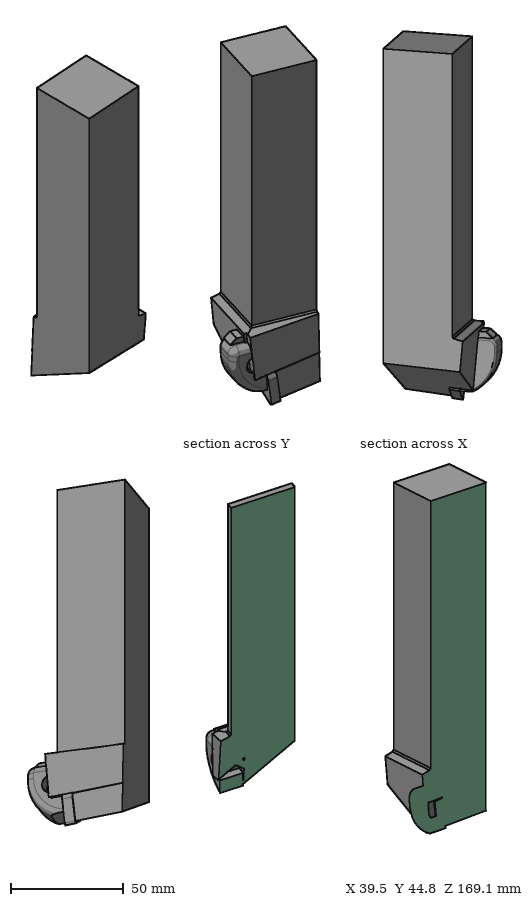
import cadquery as cq
import math

tool_height = 169.0
shank_side = 32.0
head_depth = 36.8

shoulder_height = 38.5
shoulder_slope = 0.25
shoulder_chamfer = 0.7
side_front_x = -3.9
side_lean = 0.05
side_relief = 0.11
end_front_z = 24.7
end_angle = 30.4
end_relief = 0.04

rake_tilt = 6.5
side_tilt = 6
tip_x = -7.5
tip_y = 25.5
tip_z = -0.7
insert_side = 15.9
insert_thickness = 4.7
insert_edge_angle = 87.5
nose_radius = 0.8
obtuse_corner_radius = 3.7
pocket_clearance = 33.8

recess_top_z = 18.5
recess_relief = 0.1
recess_depth = 0.2

back_tilt = 5.3
seat_right = -2.2
seat_drop = 1.2

clamp_left = -5.7
clamp_right = 6.0
clamp_back = 44.8
clamp_nose_z = 7.5
clamp_nose_height = 7.6
clamp_nose_y = 27.0
clamp_bend_z = 26.2
clamp_heel_z = 32.6
clamp_foot_y = 33.8
clamp_seat_y = 32.6
clamp_side_rounding = 3.7
clamp_corner_radius = 3.9
clamp_edge_rounding = 1.0
clamp_tab_left = -1.2
clamp_tab_width = 6.8
clamp_tab_top = 35.3
clamp_tab_back = 39.9
clamp_tab_front_z = 31.1
clamp_tab_reach = 43.1
clamp_bore_radius = 4.2
clamp_bore_depth = 5.9
clamp_bore_y = 32.8
clamp_bore_z = 22.1

cutter_size = 67.6
pick_margin = 0.8


def head_outline(y):
    """Corner points (x, z) of the head at depth y, where side and end faces shift with y."""
    side_x = side_front_x - side_relief * y
    end_z = end_front_z - end_relief * y
    end_slope = math.tan(math.radians(end_angle))
    shoulder_x = (side_x + side_lean * shoulder_height) / (1 - side_lean * shoulder_slope)
    corner_z = (end_z + end_slope * (side_x - shank_side)) / (1 - end_slope * side_lean)
    return [
        (0, shoulder_height),
        (shoulder_x, shoulder_height + shoulder_slope * shoulder_x),
        (side_x + side_lean * corner_z, corner_z),
        (shank_side, end_z),
        (shank_side, shoulder_height),
    ]


def make_shank():
    height = tool_height - shoulder_height
    return cq.Workplane("XY", origin=(0, 0, shoulder_height)).box(
        shank_side, shank_side, height, centered=False
    )


def make_head():
    head = (
        cq.Workplane("XZ")
        .polyline(head_outline(0))
        .close()
        .workplane(offset=-head_depth)
        .polyline(head_outline(head_depth))
        .close()
        .loft(ruled=True)
    )
    ledge = head_depth - shank_side
    bevel = (
        cq.Workplane("YZ")
        .polyline([
            (shank_side, shoulder_height),
            (head_depth, shoulder_height),
            (head_depth, shoulder_height - shoulder_slope * ledge),
        ])
        .close()
        .extrude(shank_side, both=True)
    )
    return head.cut(bevel)


def make_back_cutter(right_x, drop):
    """Space behind a tilted back face of the head, left of right_x and drop below its full depth."""
    cutter = cq.Workplane("XY").box(
        cutter_size, cutter_size, cutter_size, centered=(False, False, True)
    )
    cutter = cutter.rotate((0, 0, 0), (1, 0, 0), -back_tilt)
    return cutter.translate((right_x - cutter_size, head_depth - drop, shoulder_height))


def make_side_recess():
    """Block whose right face is the recessed side face and whose top runs square to the insert."""
    cutter = cq.Workplane("XY").box(cutter_size, 2 * cutter_size, cutter_size)
    cutter = cutter.translate((-cutter_size / 2, 0, -cutter_size / 2))
    cutter = cutter.rotate((0, 0, 0), (1, 0, 0), -rake_tilt)
    cutter = cutter.rotate((0, 0, 0), (0, 0, 1), math.degrees(math.atan(recess_relief)))
    cutter = cutter.rotate((0, 0, 0), (0, 1, 0), math.degrees(math.atan(side_lean)))
    recess_x = side_front_x + side_lean * recess_top_z + recess_depth
    return cutter.translate((recess_x, 0, recess_top_z))


def along(angle, length):
    """Steps in x and z when moving a length at an angle above the X axis."""
    return length * math.cos(math.radians(angle)), length * math.sin(math.radians(angle))


def place_at_tip(shape):
    """Tilt a shape by the two insert angles and move its origin to the cutting tip."""
    shape = shape.rotate((0, 0, 0), (1, 0, 0), -rake_tilt)
    shape = shape.rotate((0, 0, 0), (0, 0, 1), side_tilt)
    return shape.translate((tip_x, tip_y, tip_z))


def make_insert():
    """Rhombic insert: one sharp corner is the cutting tip, the corner above it is well rounded."""
    up_x, up_z = along(insert_edge_angle, insert_side)
    end_x, end_z = along(end_angle, insert_side)
    insert = (
        cq.Workplane("XZ")
        .polyline([(0, 0), (up_x, up_z), (up_x + end_x, up_z + end_z), (end_x, end_z)])
        .close()
        .extrude(insert_thickness)
    )
    insert = insert.edges("|Y and (<Z or >Z)").fillet(nose_radius)
    obtuse_corner = cq.selectors.NearestToPointSelector((up_x, -insert_thickness / 2, up_z))
    insert = insert.edges("|Y").edges(obtuse_corner).fillet(obtuse_corner_radius)
    return place_at_tip(insert)


def make_pocket():
    """Open space around the insert, from the seat under it out past the back of the head.

    Its two walls run along the inner sides of the insert and meet at the far corner.
    """
    up_x, up_z = along(insert_edge_angle, insert_side)
    end_x, end_z = along(end_angle, insert_side)
    pocket = (
        cq.Workplane("XZ", origin=(0, pocket_clearance, 0))
        .polyline([
            (up_x - end_x, up_z - end_z),
            (up_x + end_x, up_z + end_z),
            (end_x - up_x, end_z - up_z),
            (-up_x - end_x, -up_z - end_z),
        ])
        .close()
        .extrude(insert_thickness + pocket_clearance)
    )
    return place_at_tip(pocket)


def make_clamp():
    """Hooked clamp whose nose presses on the insert and whose heel carries a narrower tab."""
    nose_top_z = clamp_nose_z + clamp_nose_height
    body = (
        cq.Workplane("YZ", origin=(clamp_left, 0, 0))
        .moveTo(clamp_foot_y, clamp_heel_z)
        .lineTo(clamp_back, clamp_heel_z)
        .lineTo(clamp_back, clamp_bend_z)
        .tangentArcPoint((clamp_foot_y, clamp_nose_z), relative=False)
        .lineTo(clamp_nose_y, clamp_nose_z)
        .lineTo(clamp_nose_y, nose_top_z)
        .lineTo(clamp_seat_y, nose_top_z)
        .close()
        .extrude(clamp_right - clamp_left)
    )
    body = body.edges("|X and >Y and >Z").fillet(clamp_corner_radius)
    outer_edges = cq.selectors.BoxSelector(
        (clamp_left - pick_margin, clamp_foot_y + pick_margin, clamp_nose_z),
        (clamp_left + pick_margin, clamp_back + pick_margin, clamp_heel_z + pick_margin),
    )
    body = body.faces("<X").edges(outer_edges).fillet(clamp_side_rounding)
    right_edges = cq.selectors.BoxSelector(
        (clamp_right - pick_margin, clamp_foot_y + pick_margin, clamp_nose_z),
        (clamp_right + pick_margin, clamp_back + pick_margin, clamp_heel_z + pick_margin),
    )
    body = body.faces(">X").edges(right_edges).fillet(clamp_edge_rounding)
    tab = (
        cq.Workplane("YZ", origin=(clamp_tab_left, 0, 0))
        .polyline([
            (clamp_foot_y, clamp_tab_front_z),
            (clamp_tab_reach, clamp_heel_z),
            (clamp_tab_back, clamp_tab_top),
            (clamp_foot_y, clamp_tab_top),
        ])
        .close()
        .extrude(clamp_tab_width)
    )
    bore = (
        cq.Workplane("YZ", origin=(clamp_left, clamp_bore_y, clamp_bore_z))
        .circle(clamp_bore_radius)
        .extrude(clamp_bore_depth)
    )
    return body.union(tab).cut(bore)


shoulder_edges = cq.selectors.BoxSelector(
    (-pick_margin, -pick_margin, shoulder_height - pick_margin),
    (shank_side + pick_margin, shank_side + pick_margin, shoulder_height + pick_margin),
)
holder = make_shank().union(make_head())
holder = holder.edges(shoulder_edges).edges("<X or >Y").chamfer(shoulder_chamfer)
holder = holder.cut(make_back_cutter(shank_side, 0)).cut(make_back_cutter(seat_right, seat_drop))
holder = holder.cut(make_side_recess()).cut(make_pocket())
result = holder.union(make_insert()).union(make_clamp())